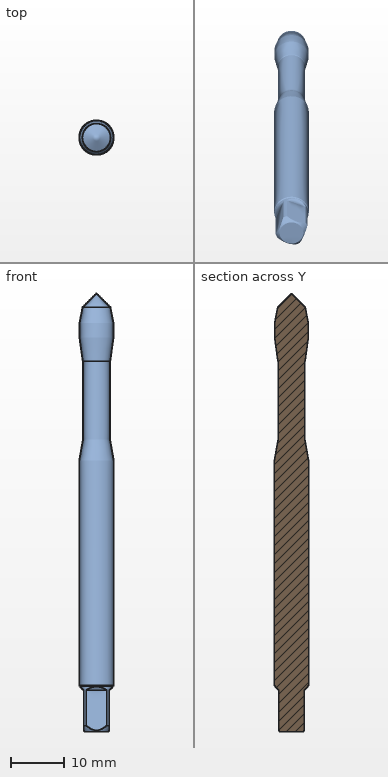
import cadquery as cq

length = 82.4
shank_radius = 6.5 / 2
head_radius = 6.4 / 2
neck_radius = 5.1 / 2
tip_radius = 5.3 / 2
head_base_radius = 5.3 / 2
drive_radius = 6.2 / 2

tip_base_z = length - tip_radius
head_top_z = length - 5.6
head_bottom_z = length - 8.3
head_base_z = length - 12.5
neck_top_z = length - 12.8
neck_bottom_z = length - 27.45
shank_top_z = length - 31.4
shank_bottom_z = 8.7
drive_top_z = shank_bottom_z - (shank_radius - drive_radius)

square_width = 4.9
flat_length = 7.8
end_radius = 2.2
end_chamfer_height = 1.15


def turned_body():
    """Half section in the XZ plane, revolved about Z."""
    profile = [
        (0, 0),
        (end_radius, 0),
        (drive_radius, end_chamfer_height),
        (drive_radius, drive_top_z),
        (shank_radius, shank_bottom_z),
        (shank_radius, shank_top_z),
        (neck_radius, neck_bottom_z),
        (neck_radius, neck_top_z),
        (head_base_radius, head_base_z),
        (head_radius, head_bottom_z),
        (head_radius, head_top_z),
        (tip_radius, tip_base_z),
        (0, length),
    ]
    return cq.Workplane("XZ").polyline(profile).close().revolve(360, (0, 0), (0, 1))


def flat_cutter():
    """Removes one side of the drive, running out at 45 degrees at its top."""
    inner = square_width / 2
    outer = 2 * shank_radius
    section = [
        (inner, 0),
        (outer, 0),
        (outer, flat_length + outer - inner),
        (inner, flat_length),
    ]
    return cq.Workplane("XZ").polyline(section).close().extrude(shank_radius, both=True)


result = turned_body()
for side in range(4):
    result = result.cut(flat_cutter().rotate((0, 0, 0), (0, 0, 1), 90 * side))